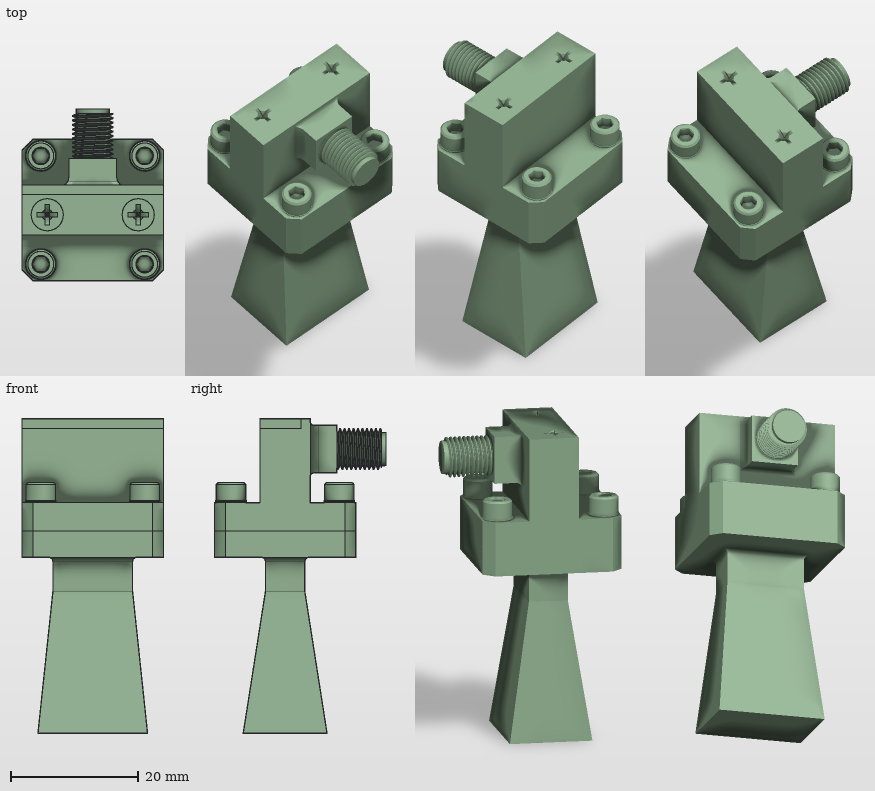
import cadquery as cq
import math

flange_width = 22.2
flange_corner = 1.75
horn_flange_bottom = 27.6
joint_z = 31.75
housing_flange_top = 36.2
overall_height = 49.4

mouth_x, mouth_y = 17.25, 13.2
neck_x, neck_y = 12.55, 6.2
flare_height = 22.2
neck_fillet = 0.65

wall_thickness = 7.9
cover_thickness = 1.6
cover_depth = 6.4

connector_size = 7.5
connector_z = 44.6
connector_block_end = 8.1
connector_tip_end = 15.85
side_spread, side_reach = 0.7, 1.3
top_spread, top_reach = 0.55, 0.55
barrel_radius = 2.6
thread_radius = 3.2
thread_end = 15.1
thread_turns = 10
thread_length = thread_end - connector_block_end
thread_pitch = thread_length / thread_turns
thread_root_width = 0.65
thread_crest_width = 0.1
thread_sink = 0.1

cap_spacing_x, cap_spacing_y = 16.3, 17.0
cap_head_radius = 2.3
cap_head_height = 3.15
cap_chamfer = 0.3
cap_lip_radius = 2.4
cap_lip_height = 0.3
cap_shank_radius = 1.4
cap_shank_length = 7.4
hex_flats = 2.35
hex_depth = 1.75
hex_countersink = 0.15

cross_spacing = 14.25
cross_head_radius = 2.5
cross_shank_radius = 1.1
cross_head_height = cross_head_radius - cross_shank_radius
cross_shank_length = 3.95
recess_span = 3.25
recess_width = 0.65
recess_depth = 1.4
recess_core_radius = 0.85

wall_face = wall_thickness / 2
cover_y = cover_depth / 2 - wall_face
cap_points = [
    (sx * cap_spacing_x / 2, sy * cap_spacing_y / 2) for sx in (-1, 1) for sy in (-1, 1)
]
cross_points = [(sx * cross_spacing / 2, cover_y) for sx in (-1, 1)]


def box_between(size_x, size_y, bottom, top):
    """Box centred on the Z axis between two heights."""
    return cq.Workplane("XY").workplane(offset=bottom).rect(size_x, size_y).extrude(top - bottom)


def flange(bottom, top):
    """Square flange with its four upright corners cut at 45 degrees."""
    return box_between(flange_width, flange_width, bottom, top).edges("|Z").chamfer(flange_corner)


def cap_screw_blank(x, y):
    """Outer shape of a socket head screw, seated on the housing flange."""
    return (
        cq.Workplane("XZ")
        .moveTo(0, -cap_shank_length)
        .lineTo(cap_shank_radius, -cap_shank_length)
        .lineTo(cap_shank_radius, 0)
        .lineTo(cap_head_radius, 0)
        .lineTo(cap_lip_radius, cap_lip_height / 2)
        .lineTo(cap_lip_radius, cap_lip_height)
        .lineTo(cap_head_radius, cap_lip_height)
        .lineTo(cap_head_radius, cap_head_height - cap_chamfer)
        .lineTo(cap_head_radius - cap_chamfer, cap_head_height)
        .lineTo(0, cap_head_height)
        .close()
        .revolve(360, (0, 0), (0, 1))
        .translate((x, y, housing_flange_top))
    )


def cap_screw(x, y):
    """Socket head screw with a countersunk hexagonal socket, corners toward +X and -X."""
    head_top = housing_flange_top + cap_head_height
    hex_corners = hex_flats / math.cos(math.pi / 6)
    socket = (
        cq.Workplane("XY", origin=(x, y, head_top))
        .polygon(6, hex_corners)
        .extrude(-hex_depth)
    )
    mouth = cq.Workplane(
        cq.Solid.makeCone(
            hex_corners / 2 - hex_countersink,
            hex_corners / 2,
            hex_countersink,
            cq.Vector(x, y, head_top - hex_countersink),
        )
    )
    return cap_screw_blank(x, y).cut(socket).cut(mouth)


def cross_screw_blank(x, y):
    """Outer shape of a countersunk screw, flush with the top of the cover."""
    return (
        cq.Workplane("XZ")
        .moveTo(0, 0)
        .lineTo(cross_head_radius, 0)
        .lineTo(cross_shank_radius, -cross_head_height)
        .lineTo(cross_shank_radius, -cross_head_height - cross_shank_length)
        .lineTo(0, -cross_head_height - cross_shank_length)
        .close()
        .revolve(360, (0, 0), (0, 1))
        .translate((x, y, overall_height))
    )


def cross_screw(x, y):
    """Countersunk screw with a cross recess whose arms slope down to the centre."""
    arm = (
        cq.Workplane("XZ")
        .moveTo(-recess_span / 2, 0)
        .lineTo(recess_span / 2, 0)
        .lineTo(0, -recess_depth)
        .close()
        .extrude(recess_width / 2, both=True)
    )
    core = cq.Workplane(
        cq.Solid.makeCone(0, recess_core_radius, recess_depth, cq.Vector(0, 0, -recess_depth))
    )
    recess = arm.union(arm.rotate((0, 0, 0), (0, 0, 1), 90)).union(core)
    return cross_screw_blank(x, y).cut(recess.translate((x, y, overall_height)))


def make_horn():
    """Pyramidal horn with a straight neck under its flange."""
    flare = (
        cq.Workplane("XY")
        .rect(mouth_x, mouth_y)
        .workplane(offset=flare_height)
        .rect(neck_x, neck_y)
        .loft(ruled=True)
    )
    neck = box_between(neck_x, neck_y, flare_height, horn_flange_bottom)
    joined = flange(horn_flange_bottom, joint_z).union(neck)
    around_neck = flange_width / 3
    root = joined.edges(
        cq.selectors.BoxSelector(
            (-around_neck, -around_neck, horn_flange_bottom - neck_fillet),
            (around_neck, around_neck, horn_flange_bottom + neck_fillet),
        )
    )
    return root.fillet(neck_fillet).union(flare)


def flared_outline(plane, spread, reach):
    """Block outline, curving outward by `spread` over the last `reach` before the wall.

    The outline is drawn on `plane`, whose second axis is +Y, and is symmetric about that axis.
    """
    half = connector_size / 2
    return (
        cq.Workplane(plane)
        .moveTo(0, connector_block_end)
        .lineTo(half, connector_block_end)
        .lineTo(half, wall_face + reach)
        .tangentArcPoint((half + spread, wall_face), relative=False)
        .lineTo(half + spread, 0)
        .lineTo(0, 0)
        .mirrorY()
    )


def connector_block():
    """Square connector block, flared into the wall; centred on the XY plane."""
    zy_plane = cq.Plane(origin=(0, 0, 0), xDir=(0, 0, 1), normal=(-1, 0, 0))
    across = flared_outline("XY", side_spread, side_reach).extrude(connector_size, both=True)
    upright = flared_outline(zy_plane, top_spread, top_reach).extrude(connector_size, both=True)
    return across.intersect(upright)


def connector_barrel():
    """Threaded barrel along +Z, starting at the block's end face."""
    barrel = cq.Workplane("XY").circle(barrel_radius).extrude(connector_tip_end - connector_block_end)
    root = barrel_radius - thread_sink
    path = cq.Wire.makeHelix(thread_pitch, thread_length + 2 * thread_pitch, root)
    ridge = (
        cq.Workplane("XZ")
        .moveTo(root, -thread_root_width / 2)
        .lineTo(thread_radius, -thread_crest_width / 2)
        .lineTo(thread_radius, thread_crest_width / 2)
        .lineTo(root, thread_root_width / 2)
        .close()
        .sweep(cq.Workplane(path), isFrenet=True)
        .translate((0, 0, -thread_pitch))
    )
    threaded_zone = cq.Workplane("XY").circle(2 * thread_radius).extrude(thread_length)
    return barrel.union(ridge.intersect(threaded_zone))


def make_housing():
    """Flange, upright wall and connector in one piece, stepped at the top for the cover."""
    wall = box_between(flange_width, wall_thickness, housing_flange_top, overall_height)
    connector = connector_block().union(
        connector_barrel().rotate((0, 0, 0), (1, 0, 0), -90).translate((0, connector_block_end, 0))
    )
    return (
        flange(joint_z, housing_flange_top)
        .union(wall)
        .union(connector.translate((0, 0, connector_z)))
        .cut(make_cover())
    )


def make_cover():
    """Plain cover strip that fills the step at the top of the wall."""
    strip = box_between(flange_width, cover_depth, overall_height - cover_thickness, overall_height)
    return strip.translate((0, cover_y, 0))


horn = make_horn()
housing = make_housing()
cover = make_cover()

for point in cap_points:
    horn = horn.cut(cap_screw_blank(*point))
    housing = housing.cut(cap_screw_blank(*point))
for point in cross_points:
    housing = housing.cut(cross_screw_blank(*point))
    cover = cover.cut(cross_screw_blank(*point))

cap_screws = [cap_screw(*point) for point in cap_points]
cross_screws = [cross_screw(*point) for point in cross_points]

result = cq.Compound.makeCompound([
    horn.val(),
    housing.val(),
    cover.val(),
    *[screw.val() for screw in cap_screws],
    *[screw.val() for screw in cross_screws],
])